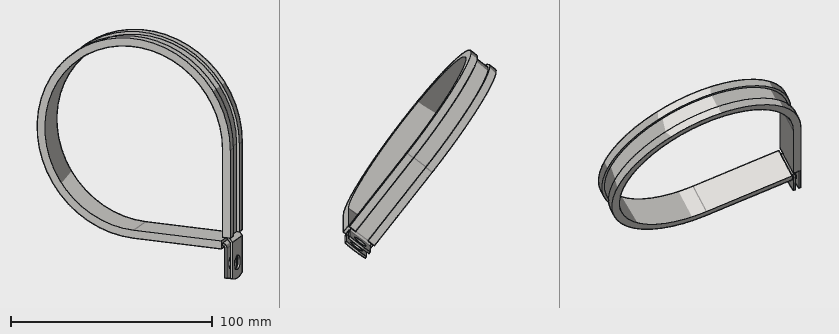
import cadquery as cq
import math


outer_radius = 51.8
cushion_thickness = 4.2
cushion_width = 15.7
groove_depth = 1.5
groove_width = 7.7
vertical_leg_end_z = -45.6
horizontal_leg_end_x = 47.0

strap_thickness = 1.2
strap_width = 12.7
strap_radius = outer_radius - groove_depth
strap_inner_radius = strap_radius - strap_thickness

lug_bottom_z = -68.3
lug_outer_x = 52.4
lug_corner_rise = 1.3
bend_radius = 2.4
offset_bend_height = 2.4
hole_diameter = 7.2
hole_z = -60.3


def loop_band(outer, inner, width):
    """Three-quarter ring with a tangent vertical leg and a tangent horizontal leg."""
    diagonal = math.sqrt(0.5)
    return (
        cq.Workplane("XZ")
        .moveTo(outer, vertical_leg_end_z)
        .lineTo(outer, 0)
        .threePointArc((-outer * diagonal, outer * diagonal), (0, -outer))
        .lineTo(horizontal_leg_end_x, -outer)
        .lineTo(horizontal_leg_end_x, -inner)
        .lineTo(0, -inner)
        .threePointArc((-inner * diagonal, inner * diagonal), (inner, 0))
        .lineTo(inner, vertical_leg_end_z)
        .close()
        .extrude(width / 2, both=True)
    )


def make_cushion():
    body = loop_band(outer_radius, outer_radius - cushion_thickness, cushion_width)
    groove = loop_band(outer_radius, strap_radius, groove_width)
    return body.cut(groove)


def make_bent_lug():
    """Lug turned down from the horizontal leg through a quarter bend."""
    outer_x = horizontal_leg_end_x + bend_radius
    bend_z = -strap_inner_radius - bend_radius
    return (
        cq.Workplane("XZ")
        .moveTo(horizontal_leg_end_x, -strap_inner_radius)
        .radiusArc((outer_x, bend_z), bend_radius)
        .lineTo(outer_x, lug_bottom_z)
        .lineTo(outer_x - strap_thickness, lug_bottom_z)
        .lineTo(outer_x - strap_thickness, bend_z)
        .radiusArc((horizontal_leg_end_x, -strap_radius), -(bend_radius - strap_thickness))
        .close()
        .extrude(strap_width / 2, both=True)
    )


def make_offset_lug():
    """Lug stepped outward below the vertical leg."""
    outer_top_z = vertical_leg_end_z - offset_bend_height
    inner_x = lug_outer_x - strap_thickness
    slope_angle = math.atan2(lug_outer_x - strap_radius, offset_bend_height)
    corner_drop = strap_thickness * math.tan(slope_angle / 2)
    profile = [
        (strap_inner_radius, vertical_leg_end_z - corner_drop),
        (strap_inner_radius, vertical_leg_end_z),
        (strap_radius, vertical_leg_end_z),
        (lug_outer_x, outer_top_z),
        (lug_outer_x, lug_bottom_z),
        (inner_x, lug_bottom_z),
        (inner_x, outer_top_z - corner_drop),
    ]
    return cq.Workplane("XZ").polyline(profile).close().extrude(strap_width / 2, both=True)


def lug_envelope():
    """Side outline shared by both lugs, with a shallow round end and a bolt hole."""
    half_width = strap_width / 2
    corner_z = lug_bottom_z + lug_corner_rise
    outline = (
        cq.Workplane("YZ")
        .moveTo(-half_width, 0)
        .lineTo(-half_width, corner_z)
        .threePointArc((0, lug_bottom_z), (half_width, corner_z))
        .lineTo(half_width, 0)
        .close()
        .extrude(lug_outer_x)
    )
    hole = cq.Workplane("YZ").center(0, hole_z).circle(hole_diameter / 2).extrude(lug_outer_x)
    return outline.cut(hole)


strap = loop_band(strap_radius, strap_inner_radius, strap_width)
lugs = make_bent_lug().union(make_offset_lug()).intersect(lug_envelope())
result = make_cushion().union(strap).union(lugs)